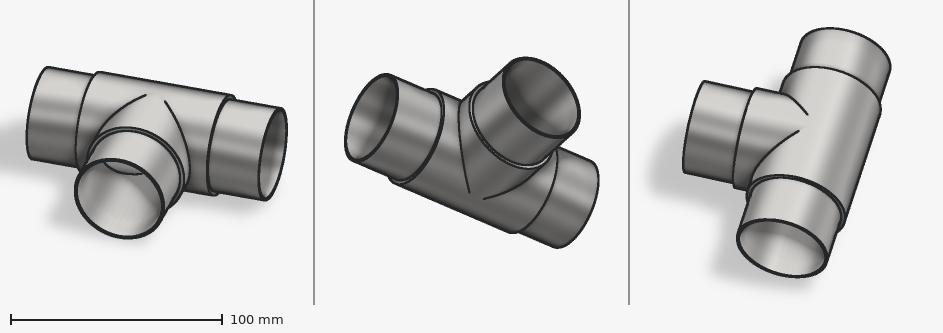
import cadquery as cq

body_diameter = 48.3
spigot_diameter = 44.3
wall_thickness = 1.0
spigot_length = 25.0
run_body_length = 65.0
branch_body_reach = 33.0

bore_diameter = spigot_diameter - 2 * wall_thickness
run_length = run_body_length + 2 * spigot_length
branch_reach = branch_body_reach + spigot_length


def run_cylinder(diameter, length):
    """Cylinder along X, centred on the origin."""
    return cq.Workplane("YZ").circle(diameter / 2).extrude(length / 2, both=True)


def branch_cylinder(diameter, reach):
    """Cylinder from the run axis toward -Y."""
    return cq.Workplane("XZ").circle(diameter / 2).extrude(reach)


def tee(diameter, length, reach):
    """Run and branch cylinders of equal diameter joined together."""
    return run_cylinder(diameter, length).union(branch_cylinder(diameter, reach))


body = tee(body_diameter, run_body_length, branch_body_reach)
spigots = tee(spigot_diameter, run_length, branch_reach)
bore = tee(bore_diameter, run_length, branch_reach)

result = body.union(spigots).cut(bore)